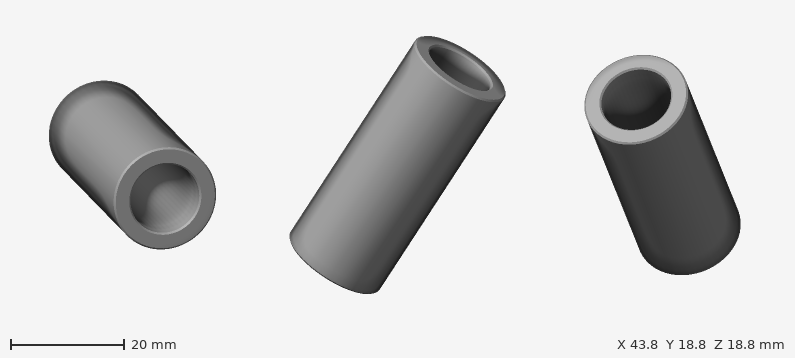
import cadquery as cq

length = 43.75
outer_diameter = 18.75
bore_diameter = 12.6
edge_chamfer = 0.3

sleeve = (
    cq.Workplane("YZ")
    .workplane(offset=-length / 2)
    .circle(outer_diameter / 2)
    .circle(bore_diameter / 2)
    .extrude(length)
)

result = sleeve.faces("<X or >X").edges().chamfer(edge_chamfer)